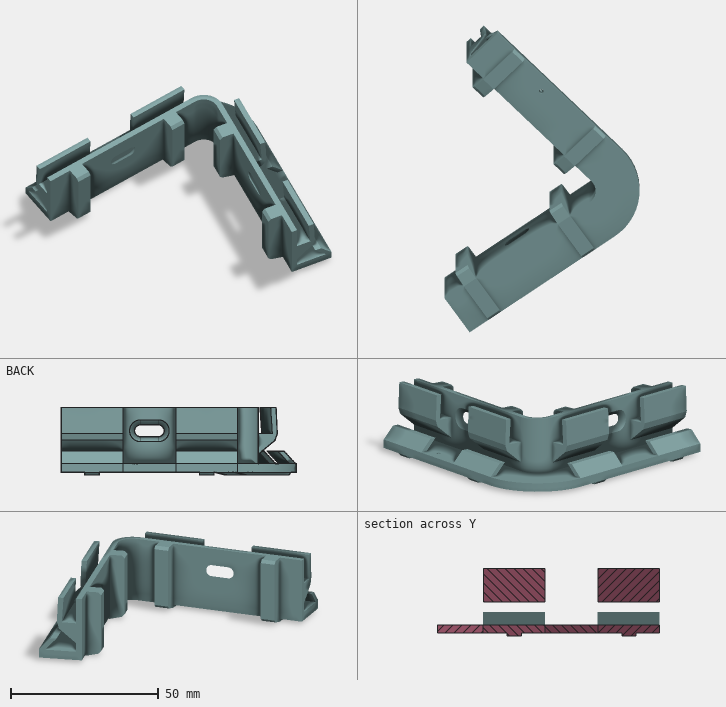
import cadquery as cq


OUTER_RADIUS = 20.0
INNER_RADIUS = 5.0
WALL_THICKNESS = 2.0
FLOOR_THICKNESS = 3.0
WALL_HEIGHT = 22.05
WALL_OUTER_RADIUS = INNER_RADIUS + WALL_THICKNESS

CORNER_SWEEP = 100
ARM_LENGTH = 60.0
PLATE_LENGTH = 17.9
CLIP_LENGTH = (ARM_LENGTH - PLATE_LENGTH) / 2
PLATE_CENTRE = ARM_LENGTH / 2
CLIP_CENTRES = (CLIP_LENGTH / 2, ARM_LENGTH - CLIP_LENGTH / 2)

LIP_TOP_HEIGHT = 7.2
LIP_RUN = 4.0
LIP_THICKNESS = 2.15

SLOT_FLOOR_HEIGHT = 13.2
SLOT_FLOOR_WIDTH = 4.95
SLOT_TOP_WIDTH = 4.4
JAW_TOP_THICKNESS = 1.9
JAW_ELBOW_THICKNESS = 1.7
JAW_KNEE_RADIUS = 13.0
JAW_KNEE_HEIGHT = 10.9
JAW_ROOT_HEIGHT = 6.0

RIB_WIDTH = 5.0
RIB_DROP = 1.0
RIB_CHAMFER = 1.0

SLOT_CENTRE_HEIGHT = 14.1
SLOT_STRAIGHT = 6.0
SLOT_END_RADIUS = 2.0
SLOT_MOUTH_RADIUS = 3.7

DISC_DIAMETER = 0.7
DISC_HOLE_DIAMETER = 1.5
DISC_FROM_OUTER_EDGE = 4.2
DISC_FROM_PLATE_CENTRE = 4.8


def extrude_section(points, length):
    """Extrude a (radius, height) outline along X, centred on X = 0."""
    return cq.Workplane("YZ").polyline(points).close().extrude(length / 2, both=True)


def floor_and_wall_outline():
    """L-shaped (radius, height) outline shared by the arms and the corner."""
    return [
        (INNER_RADIUS, 0),
        (OUTER_RADIUS, 0),
        (OUTER_RADIUS, FLOOR_THICKNESS),
        (WALL_OUTER_RADIUS, FLOOR_THICKNESS),
        (WALL_OUTER_RADIUS, WALL_HEIGHT),
        (INNER_RADIUS, WALL_HEIGHT),
    ]


def floor_and_wall(length):
    return extrude_section(floor_and_wall_outline(), length)


def lip():
    lip_tip_radius = OUTER_RADIUS - LIP_RUN
    return extrude_section(
        [
            (OUTER_RADIUS, FLOOR_THICKNESS),
            (lip_tip_radius, LIP_TOP_HEIGHT),
            (lip_tip_radius - LIP_THICKNESS, LIP_TOP_HEIGHT),
            (OUTER_RADIUS - LIP_THICKNESS, FLOOR_THICKNESS),
        ],
        CLIP_LENGTH,
    )


def jaw():
    slot_floor_radius = WALL_OUTER_RADIUS + SLOT_FLOOR_WIDTH
    slot_top_radius = WALL_OUTER_RADIUS + SLOT_TOP_WIDTH
    return extrude_section(
        [
            (WALL_OUTER_RADIUS, JAW_ROOT_HEIGHT),
            (JAW_KNEE_RADIUS, JAW_KNEE_HEIGHT),
            (slot_floor_radius + JAW_ELBOW_THICKNESS, SLOT_FLOOR_HEIGHT),
            (slot_top_radius + JAW_TOP_THICKNESS, WALL_HEIGHT),
            (slot_top_radius, WALL_HEIGHT),
            (slot_floor_radius, SLOT_FLOOR_HEIGHT),
            (WALL_OUTER_RADIUS, SLOT_FLOOR_HEIGHT),
        ],
        CLIP_LENGTH,
    )


def rib():
    """Rib whose tip reaches in to the corner's centre line; its foot slopes up to the tip."""
    return extrude_section(
        [
            (OUTER_RADIUS, 0),
            (OUTER_RADIUS - RIB_DROP, -RIB_DROP),
            (INNER_RADIUS, -RIB_DROP),
            (RIB_CHAMFER, 0),
            (0, RIB_CHAMFER),
            (0, WALL_HEIGHT - RIB_CHAMFER),
            (RIB_CHAMFER, WALL_HEIGHT),
            (INNER_RADIUS, WALL_HEIGHT),
            (INNER_RADIUS, 0),
        ],
        RIB_WIDTH,
    )


def clip():
    return floor_and_wall(CLIP_LENGTH).union(lip()).union(jaw()).union(rib())


def countersunk_slot():
    """Slot that widens evenly from the wall's inner face to its outer face."""
    inner_face = cq.Workplane("XZ", origin=(0, INNER_RADIUS, SLOT_CENTRE_HEIGHT))
    return (
        inner_face.slot2D(SLOT_STRAIGHT + 2 * SLOT_END_RADIUS, 2 * SLOT_END_RADIUS)
        .workplane(offset=-WALL_THICKNESS)
        .slot2D(SLOT_STRAIGHT + 2 * SLOT_MOUTH_RADIUS, 2 * SLOT_MOUTH_RADIUS)
        .loft(ruled=True)
    )


def plate():
    return floor_and_wall(PLATE_LENGTH).cut(countersunk_slot())


def upright_disc(diameter):
    """Cylinder through the floor's thickness at the loose disc's place in a plate."""
    return (
        cq.Workplane("XY")
        .center(DISC_FROM_PLATE_CENTRE, OUTER_RADIUS - DISC_FROM_OUTER_EDGE)
        .circle(diameter / 2)
        .extrude(FLOOR_THICKNESS)
    )


def corner():
    """The plain arm section swept about Z from the first arm to the second."""
    section = cq.Workplane("YZ").polyline(floor_and_wall_outline()).close()
    return section.revolve(CORNER_SWEEP, (0, 0), (0, 1))


def on_first_arm(body, distance):
    return body.translate((distance, 0, 0))


def on_second_arm(body, distance):
    return body.translate((-distance, 0, 0)).rotate((0, 0, 0), (0, 0, 1), CORNER_SWEEP)


corner_piece = corner()
clips = [place(clip(), centre) for place in (on_first_arm, on_second_arm) for centre in CLIP_CENTRES]
first_plate = on_first_arm(plate().cut(upright_disc(DISC_HOLE_DIAMETER)), PLATE_CENTRE)
second_plate = on_second_arm(plate(), PLATE_CENTRE)
loose_disc = on_first_arm(upright_disc(DISC_DIAMETER), PLATE_CENTRE)

result = cq.Compound.makeCompound(
    [
        corner_piece.val(),
        *[body.val() for body in clips],
        first_plate.val(),
        second_plate.val(),
        loose_disc.val(),
    ]
)